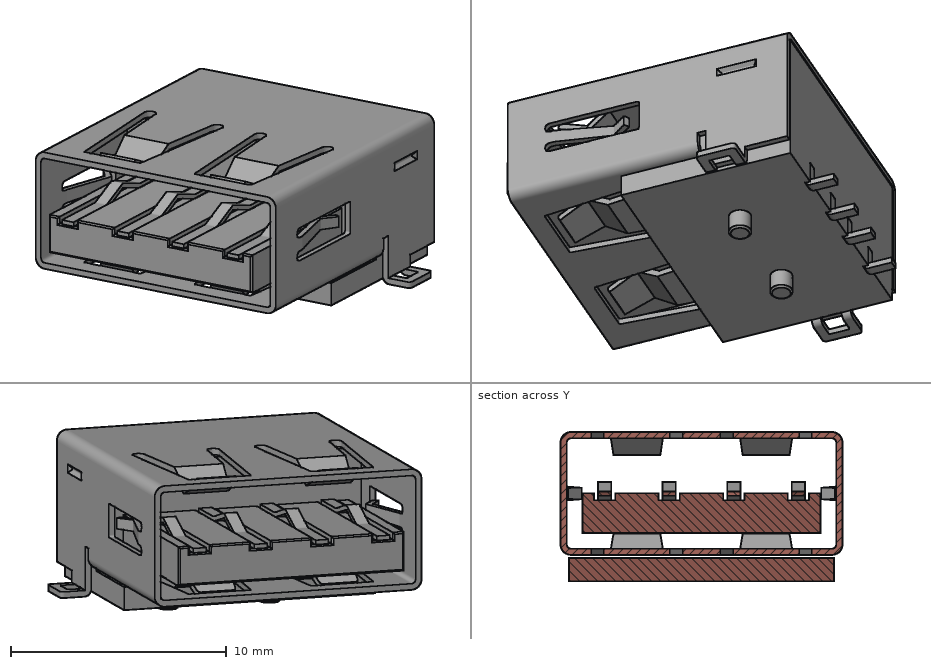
import cadquery as cq
import math


SHELL_HALF_WIDTH = 6.55
SHELL_LENGTH = 14.05
SHELL_TOP = 7.11
SHELL_BOTTOM = 1.4
WALL = 0.3
SHELL_RADIUS = 0.5
FLOOR_LENGTH = 9.55
REAR_SKIRT_BOTTOM = 0.88
INNER_HALF_WIDTH = SHELL_HALF_WIDTH - WALL
INNER_TOP = SHELL_TOP - WALL
INNER_BOTTOM = SHELL_BOTTOM + WALL
SHELL_MID = (SHELL_TOP + SHELL_BOTTOM) / 2

LUG_FRONT = 9.95
LUG_WIDTH = 1.96
LUG_SPAN = 15.5
LUG_REACH = LUG_SPAN / 2
LUG_CORNER_RADIUS = 0.19
LUG_BEND_RADIUS = 0.35
LUG_HOLE_WIDTH = 1.04
LUG_HOLE_REACH = 7.27
LUG_HOLE_RADIUS = 0.06
RELIEF_TOP = 2.37

SPRING_X = 3.0
WINDOW_FRONT = 1.02
WINDOW_FRONT_WIDTH = 3.06
WINDOW_FRONT_HALF = WINDOW_FRONT_WIDTH / 2
WINDOW_CORNER_RADIUS = 0.06
ROOT_Y = 7.33
LOBE_SPACING = 3.66
LOBE_DIAMETER = 0.58
LOBE_X = LOBE_SPACING / 2
LOBE_RADIUS = LOBE_DIAMETER / 2
SPRING_ROOT_HALF = LOBE_X - LOBE_RADIUS
SPRING_TIP_HALF = 0.93
SPRING_TIP_RADIUS = 0.15
SPRING_BEND_Y = 4.07
SPRING_CREST_Y = 2.98
SPRING_TIP_Y = 1.54
SPRING_LIP_RISE = 0.66
TOP_SPRING_DIP = 0.74
FLOOR_SPRING_DIP = 0.66

SIDE_Z = 4.25
SIDE_WINDOW_HALF = 0.8
SIDE_WINDOW_REAR = 6.61
SIDE_WINDOW_RADIUS = 0.11
SIDE_ROOT_Y = 2.12
SIDE_LOBE_RADIUS = 0.24
SIDE_ROOT_HALF = SIDE_WINDOW_HALF - 2 * SIDE_LOBE_RADIUS
SIDE_TIP_HALF = 0.25
SIDE_TIP_RADIUS = 0.06
SIDE_BEND_Y = 2.34
SIDE_CREST_Y = 5.05
SIDE_BEND_RADIUS = 0.24
SIDE_CREST_RADIUS = 0.06
SIDE_TIP_Y = 5.8
SIDE_DIP = 0.68
SIDE_LIP_RISE = 0.55

DIMPLE_Y = 11.51
DIMPLE_Z = 5.59
DIMPLE_LENGTH = 2.0
DIMPLE_HEIGHT = 0.41
DIMPLE_DEPTH = 0.17
DIMPLE_ROUNDING = 0.06
DIMPLE_TAPER = 45

CLEARANCE = 0.1
HOUSING_HALF_WIDTH = INNER_HALF_WIDTH - CLEARANCE
HOUSING_TOP = INNER_TOP - CLEARANCE
HOUSING_BOTTOM = 0.17
INSERT_FRONT = 7.5
FOOT_FRONT = 5.54
FOOT_TOP = 1.27
TONGUE_HALF_WIDTH = 5.53
TONGUE_TOP = 4.27
TONGUE_BOTTOM = 2.42
TONGUE_FRONT = -0.47
TONGUE_CHAMFER = 0.08
GROOVE_WIDTH = 0.97
GROOVE_FLOOR = 3.94
PEG_X = 2.5
PEG_Y = 10.0
PEG_DIAMETER = 1.05
PEG_BOTTOM = -0.8
PEG_CHAMFER = 0.1

CONTACT_PITCH = 3.0
CONTACT_COUNT = 4
CONTACT_XS = [CONTACT_PITCH * (i - (CONTACT_COUNT - 1) / 2) for i in range(CONTACT_COUNT)]
CONTACT_WIDTH = 0.63
CONTACT_THICKNESS = 0.22
CONTACT_BEND_RADIUS = 0.28
CONTACT_CREST_RADIUS = 0.1
CONTACT_REAR = 8.64
CONTACT_REAR_TOP = 4.35
CONTACT_CREST_TOP = 4.8
CONTACT_RISE_Y = 5.45
CONTACT_CREST_Y = 3.91
CONTACT_FLAT_Y = 2.46
INNER_TAIL_X = 1.0
OUTER_TAIL_X = 3.5
TAIL_XS = [-OUTER_TAIL_X, -INNER_TAIL_X, INNER_TAIL_X, OUTER_TAIL_X]
TAIL_WIDTH = 0.5
TAIL_THICKNESS = 0.3
TAIL_END = 15.23
TAIL_LEG_TOP = 1.25
TAIL_BEND_RADIUS = 0.05


def block(x0, x1, y0, y1, z0, z1):
    """Axis-aligned box between the given limits."""
    return cq.Workplane("XY").box(x1 - x0, y1 - y0, z1 - z0, centered=False).translate((x0, y0, z0))


def strip_outline(points, thickness):
    """Closed outline of a bent strip: the face through points and its mitred offset to the left."""
    headings = [math.atan2(b[1] - a[1], b[0] - a[0]) for a, b in zip(points, points[1:])]
    before = [headings[0]] + headings
    after = headings + [headings[-1]]
    offset = []
    for (u, v), h0, h1 in zip(points, before, after):
        normal = (h0 + h1) / 2 + math.pi / 2
        reach = thickness / math.cos((h1 - h0) / 2)
        offset.append((u + reach * math.cos(normal), v + reach * math.sin(normal)))
    return points + offset[::-1]


def round_edge(shape, point, radius):
    """The shape with its straight edge whose midpoint is nearest to point rounded."""
    return shape.edges(cq.selectors.NearestToPointSelector(point)).fillet(radius)


def both_sides(shape):
    """The shape on the +X side together with its mirror image on the -X side."""
    return shape.union(shape.mirror("YZ"))


def make_tube():
    """Closed front tube and the downward-open rear channel behind it."""
    height = SHELL_TOP - SHELL_BOTTOM

    def tube(half_width, tall, radius):
        return (
            block(-half_width, half_width, 0, FLOOR_LENGTH, SHELL_MID - tall / 2, SHELL_MID + tall / 2)
            .edges("|Y").fillet(radius)
        )

    def channel(half_width, top, radius):
        return (
            block(-half_width, half_width, FLOOR_LENGTH, SHELL_LENGTH, REAR_SKIRT_BOTTOM, top)
            .edges("|Y and >Z").fillet(radius)
        )

    inner_radius = SHELL_RADIUS - WALL
    front = tube(SHELL_HALF_WIDTH, height, SHELL_RADIUS).cut(
        tube(INNER_HALF_WIDTH, height - 2 * WALL, inner_radius))
    rear = channel(SHELL_HALF_WIDTH, SHELL_TOP, SHELL_RADIUS).cut(
        channel(INNER_HALF_WIDTH, INNER_TOP, inner_radius))
    relief = block(-SHELL_HALF_WIDTH, SHELL_HALF_WIDTH, FLOOR_LENGTH, LUG_FRONT, 0, RELIEF_TOP)
    return front.union(rear).cut(relief)


def make_lug():
    """Leg going down from the +X side wall, bent outwards into a solder lug; its hole starts in the bend."""
    rear = LUG_FRONT + LUG_WIDTH
    leg = block(INNER_HALF_WIDTH, SHELL_HALF_WIDTH, LUG_FRONT, rear, 0, REAR_SKIRT_BOTTOM)
    pad = block(SHELL_HALF_WIDTH, LUG_REACH, LUG_FRONT, rear, 0, WALL)
    pad = pad.edges("|Z and >X").fillet(LUG_CORNER_RADIUS)
    lug = leg.union(pad)
    lug = lug.edges("|Y and <X and <Z").fillet(LUG_BEND_RADIUS)
    margin = (LUG_WIDTH - LUG_HOLE_WIDTH) / 2
    hole = block(INNER_HALF_WIDTH, LUG_HOLE_REACH, LUG_FRONT + margin, rear - margin, 0, WALL)
    return lug.cut(hole.edges("|Z and >X").fillet(LUG_HOLE_RADIUS))


def make_spring_window():
    """Tapered opening with two round lobes at its rear, through the top plate and centred on X = 0."""
    lobe_edge = LOBE_X + LOBE_RADIUS
    plate = cq.Workplane("XY").workplane(offset=INNER_TOP)
    opening = (
        plate.polyline([
            (-WINDOW_FRONT_HALF, WINDOW_FRONT),
            (WINDOW_FRONT_HALF, WINDOW_FRONT),
            (lobe_edge, ROOT_Y),
            (-lobe_edge, ROOT_Y),
        ]).close().extrude(WALL)
        .edges("|Z and <Y").fillet(WINDOW_CORNER_RADIUS)
    )
    lobes = plate.pushPoints([(-LOBE_X, ROOT_Y), (LOBE_X, ROOT_Y)]).circle(LOBE_RADIUS).extrude(WALL)
    return opening.union(lobes)


def make_spring(dip):
    """Tapered leaf of the top plate, bent down by dip and up again at its tip, centred on X = 0."""
    upper_face = [
        (SPRING_TIP_Y, SHELL_TOP - dip + SPRING_LIP_RISE),
        (SPRING_CREST_Y, SHELL_TOP - dip),
        (SPRING_BEND_Y, SHELL_TOP),
        (ROOT_Y, SHELL_TOP),
    ]
    outline = strip_outline(upper_face, -WALL)
    leaf = cq.Workplane("YZ").polyline(outline).close().extrude(SPRING_ROOT_HALF, both=True)
    front = min(y for y, _ in outline)
    plan = (
        cq.Workplane("XY").polyline([
            (-SPRING_TIP_HALF, front),
            (SPRING_TIP_HALF, front),
            (SPRING_ROOT_HALF, ROOT_Y),
            (-SPRING_ROOT_HALF, ROOT_Y),
        ]).close().extrude(SHELL_TOP)
        .edges("|Z and <Y").fillet(SPRING_TIP_RADIUS)
    )
    return leaf.intersect(plan)


def make_side_window():
    """Opening in the +X side wall with two round lobes at its front."""
    opening = block(
        INNER_HALF_WIDTH, SHELL_HALF_WIDTH, SIDE_ROOT_Y, SIDE_WINDOW_REAR,
        SIDE_Z - SIDE_WINDOW_HALF, SIDE_Z + SIDE_WINDOW_HALF,
    ).edges("|X and >Y").fillet(SIDE_WINDOW_RADIUS)
    lobe_offset = SIDE_WINDOW_HALF - SIDE_LOBE_RADIUS
    lobes = (
        cq.Workplane("YZ").workplane(offset=INNER_HALF_WIDTH)
        .pushPoints([(SIDE_ROOT_Y, SIDE_Z - lobe_offset), (SIDE_ROOT_Y, SIDE_Z + lobe_offset)])
        .circle(SIDE_LOBE_RADIUS).extrude(WALL)
    )
    return opening.union(lobes)


def make_side_spring():
    """Tapered leaf of the +X side wall, bent inwards towards the rear with a flared tip."""
    outer_face = [
        (SHELL_HALF_WIDTH, SIDE_ROOT_Y),
        (SHELL_HALF_WIDTH, SIDE_BEND_Y),
        (SHELL_HALF_WIDTH - SIDE_DIP, SIDE_CREST_Y),
        (SHELL_HALF_WIDTH - SIDE_DIP + SIDE_LIP_RISE, SIDE_TIP_Y),
    ]
    outline = strip_outline(outer_face, WALL)
    leaf = (
        cq.Workplane("XY").workplane(offset=SIDE_Z)
        .polyline(outline).close().extrude(SIDE_ROOT_HALF, both=True)
    )
    for (x, y), radius in zip(outer_face[1:3], [SIDE_BEND_RADIUS, SIDE_CREST_RADIUS]):
        leaf = round_edge(leaf, (x, y, SIDE_Z), radius)
    rear = max(y for _, y in outline)
    elevation = (
        cq.Workplane("YZ").polyline([
            (SIDE_ROOT_Y, SIDE_Z - SIDE_ROOT_HALF),
            (rear, SIDE_Z - SIDE_TIP_HALF),
            (rear, SIDE_Z + SIDE_TIP_HALF),
            (SIDE_ROOT_Y, SIDE_Z + SIDE_ROOT_HALF),
        ]).close().extrude(SHELL_HALF_WIDTH)
        .edges("|X and >Y").fillet(SIDE_TIP_RADIUS)
    )
    return leaf.intersect(elevation)


def make_dimple():
    """Shallow hipped recess pressed into the outside of the +X side wall."""
    return (
        cq.Workplane("YZ").workplane(offset=SHELL_HALF_WIDTH).center(DIMPLE_Y, DIMPLE_Z)
        .rect(DIMPLE_LENGTH, DIMPLE_HEIGHT).extrude(-DIMPLE_DEPTH, taper=DIMPLE_TAPER)
        .faces("<X").edges().fillet(DIMPLE_ROUNDING)
    )


def make_shell():
    """Complete sheet-metal shell."""
    shell = make_tube().union(both_sides(make_lug()))
    shell = shell.cut(both_sides(make_side_window())).union(both_sides(make_side_spring()))
    shell = shell.cut(both_sides(make_dimple()))
    window = make_spring_window()
    top_spring = make_spring(TOP_SPRING_DIP)
    floor_window = window.mirror("XY", (0, 0, SHELL_MID))
    floor_spring = make_spring(FLOOR_SPRING_DIP).mirror("XY", (0, 0, SHELL_MID))
    for x in (-SPRING_X, SPRING_X):
        shell = shell.cut(window.translate((x, 0, 0))).union(top_spring.translate((x, 0, 0)))
        shell = shell.cut(floor_window.translate((x, 0, 0))).union(floor_spring.translate((x, 0, 0)))
    return shell


def make_contact(x):
    """Contact strip lying at the tongue front, with a raised crest, held in the housing at its rear."""
    upper_face = [
        (TONGUE_FRONT, GROOVE_FLOOR + CONTACT_THICKNESS),
        (CONTACT_FLAT_Y, GROOVE_FLOOR + CONTACT_THICKNESS),
        (CONTACT_CREST_Y, CONTACT_CREST_TOP),
        (CONTACT_RISE_Y, CONTACT_REAR_TOP),
        (CONTACT_REAR, CONTACT_REAR_TOP),
    ]
    contact = (
        cq.Workplane("YZ").workplane(offset=x - CONTACT_WIDTH / 2)
        .polyline(strip_outline(upper_face, -CONTACT_THICKNESS)).close().extrude(CONTACT_WIDTH)
    )
    bend_radii = [CONTACT_BEND_RADIUS, CONTACT_CREST_RADIUS, CONTACT_BEND_RADIUS]
    for (y, z), radius in zip(upper_face[1:4], bend_radii):
        contact = round_edge(contact, (x, y, z), radius)
    return contact


def make_tail(x):
    """L-shaped solder tail: leg in the housing rear and a foot on the board."""
    leg_rear = SHELL_LENGTH
    leg_front = leg_rear - TAIL_THICKNESS
    x0 = x - TAIL_WIDTH / 2
    x1 = x + TAIL_WIDTH / 2
    leg = block(x0, x1, leg_front, leg_rear, 0, TAIL_LEG_TOP)
    foot = block(x0, x1, leg_rear, TAIL_END, 0, TAIL_THICKNESS)
    tail = leg.union(foot)
    tail = tail.edges("|X and <Y and <Z").fillet(TAIL_THICKNESS + TAIL_BEND_RADIUS)
    return round_edge(tail, (x, leg_rear, TAIL_THICKNESS), TAIL_BEND_RADIUS)


def make_tongue():
    """Tongue with a groove for each contact and a chamfered front."""
    tongue = block(
        -TONGUE_HALF_WIDTH, TONGUE_HALF_WIDTH, TONGUE_FRONT, INSERT_FRONT, TONGUE_BOTTOM, TONGUE_TOP)
    half = GROOVE_WIDTH / 2
    for x in CONTACT_XS:
        tongue = tongue.cut(block(x - half, x + half, TONGUE_FRONT, INSERT_FRONT, GROOVE_FLOOR, TONGUE_TOP))
    return tongue.faces("<Y").edges().chamfer(TONGUE_CHAMFER)


def make_housing(inserts):
    """Plastic housing with seats for the given inserted bodies."""
    half = HOUSING_HALF_WIDTH
    insert = block(-half, half, INSERT_FRONT, FLOOR_LENGTH, INNER_BOTTOM + CLEARANCE, HOUSING_TOP)
    rear = block(-half, half, FLOOR_LENGTH, SHELL_LENGTH, HOUSING_BOTTOM, HOUSING_TOP)
    foot = block(-half, half, FOOT_FRONT, FLOOR_LENGTH, HOUSING_BOTTOM, FOOT_TOP)
    pegs = (
        cq.Workplane("XY").workplane(offset=PEG_BOTTOM)
        .pushPoints([(-PEG_X, PEG_Y), (PEG_X, PEG_Y)])
        .circle(PEG_DIAMETER / 2).extrude(HOUSING_BOTTOM - PEG_BOTTOM)
        .faces("<Z").edges().chamfer(PEG_CHAMFER)
    )
    housing = rear.union(insert).union(foot).union(make_tongue()).union(pegs)
    for body in inserts:
        housing = housing.cut(body)
    return housing


contacts = [make_contact(x) for x in CONTACT_XS]
tails = [make_tail(x) for x in TAIL_XS]
housing = make_housing(contacts + tails)
shell = make_shell()

result = cq.Compound.makeCompound(
    [shell.val(), housing.val()]
    + [contact.val() for contact in contacts]
    + [tail.val() for tail in tails]
)